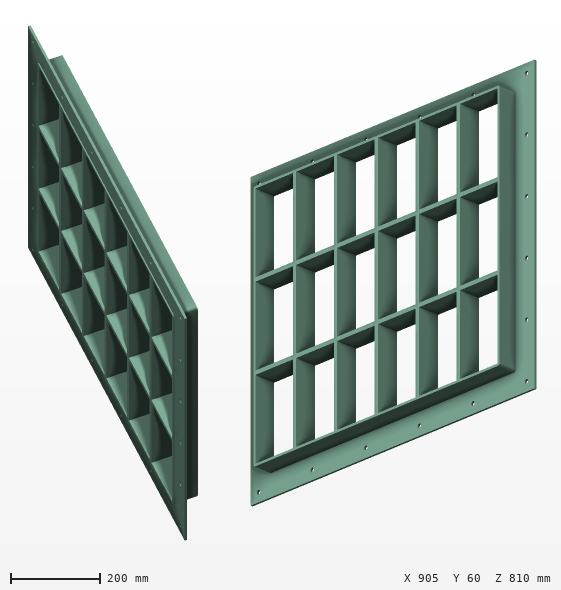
import cadquery as cq

flange_width = 905.0
flange_height = 810.0
flange_thickness = 6.0
flange_border = 60.0

frame_depth = 60.0
frame_wall = 6.0
frame_corner_radius = 6.0
frame_front_lip = 3.0
frame_width = flange_width - 2 * flange_border
frame_height = flange_height - 2 * flange_border

columns = 6
rows = 3
bar_thickness = 11.0
cell_width = (frame_width - 2 * frame_wall - (columns - 1) * bar_thickness) / columns
cell_height = (frame_height - 2 * frame_wall - (rows - 1) * bar_thickness) / rows

hole_diameter = 11.0
hole_inset = 25.0
holes_per_side = 6


def upright_block(width, height, depth, front):
    """Block centred on X and Z, running back from Y = front."""
    return cq.Workplane("XY").box(width, depth, height).translate((0, front + depth / 2, 0))


def bolt_points():
    """Evenly spaced hole centres on all four sides, corners counted once."""
    span_x = flange_width - 2 * hole_inset
    span_z = flange_height - 2 * hole_inset
    last = holes_per_side - 1
    points = []
    for i in range(holes_per_side):
        for k in range(holes_per_side):
            if i in (0, last) or k in (0, last):
                points.append((span_x * (i / last - 0.5), span_z * (k / last - 0.5)))
    return points


def make_flange():
    plate = upright_block(flange_width, flange_height, flange_thickness, frame_front_lip)
    front_plane = plate.faces("<Y").workplane(centerOption="CenterOfMass")
    return front_plane.pushPoints(bolt_points()).hole(hole_diameter)


def make_frame():
    block = upright_block(frame_width, frame_height, frame_depth, 0)
    return block.edges("|Y").fillet(frame_corner_radius)


def make_cells():
    """Openings through the full frame depth; the material left between them forms the bars."""
    column_pitch = cell_width + bar_thickness
    row_pitch = cell_height + bar_thickness
    return (
        cq.Workplane("XZ")
        .rarray(column_pitch, row_pitch, columns, rows)
        .rect(cell_width, cell_height)
        .extrude(-frame_depth)
    )


result = make_flange().union(make_frame()).cut(make_cells())